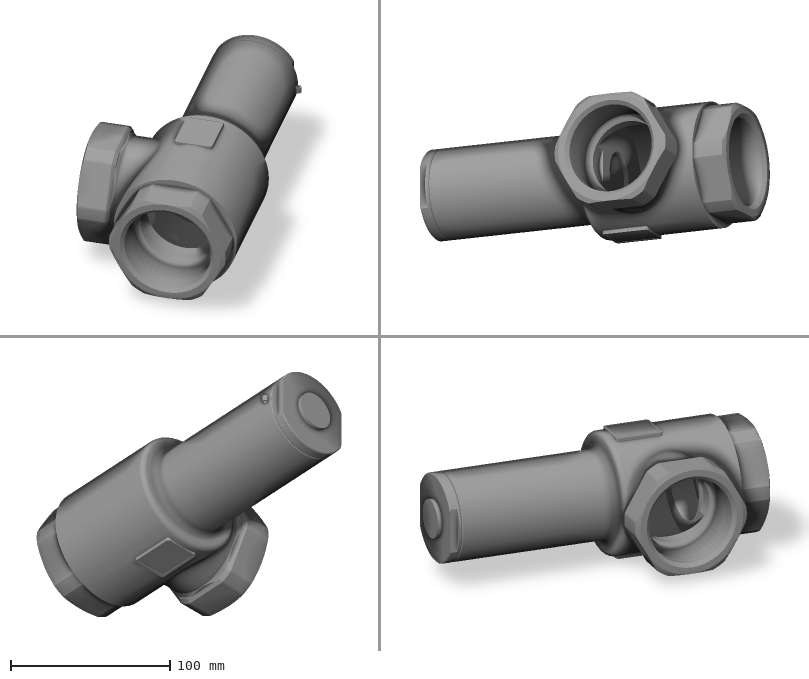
import cadquery as cq
import math


BODY_R = 40.0
BODY_START_Y = 21.0
SHOULDER_Y = 100.7
SHOULDER_ROUND = 3.2

BONNET_R = 29.0
ROOT_FILLET = 4.3
BONNET_START_Y = SHOULDER_Y + ROOT_FILLET
JOINT_Y = 205.8
JOINT_CHAMFER = 0.6

CAP_TOP_Y = 213.0
CAP_FLAT_X = 25.0
CAP_FLAT_START_Y = 208.0
BOSS_R = 12.5
TOTAL_LENGTH = 216.0

EYE_Y = 202.5
EYE_X = 30.7
EYE_R = 2.0
EYE_HOLE_R = 1.0
EYE_HEIGHT = 3.9

HEX_APOTHEM = 34.8
HEX_CORNER_R = 37.8
HEX_FACE_CHAMFER = 1.5
THREAD_R = 28.0
THREAD_MOUTH_R = 30.5
THREAD_MOUTH_DEPTH = 2.4
OUTLET_THREAD_DEPTH = 27.9
INLET_THREAD_DEPTH = 26.0
CONE_DEPTH = 2.5

OUTLET_Y = 66.0
OUTLET_FACE_X = -67.0
OUTLET_HEX_LENGTH = 21.8
OUTLET_BACK_CHAMFER = 2.2
OUTLET_CORNER_FILLET = 4.3
NECK_R = 32.5
NECK_FILLET = 2.2
COLLAR_LENGTH = 2.0
OUTLET_PASSAGE_R = 24.2
OUTLET_PASSAGE_END_X = -26.0

CHAMBER_R = 35.6
CHAMBER_HALF_LENGTH = 21.8
CHAMBER_START_Y = OUTLET_Y - CHAMBER_HALF_LENGTH
CHAMBER_END_Y = OUTLET_Y + CHAMBER_HALF_LENGTH
INLET_PASSAGE_R = 24.8

DISC_R = 21.0
DISC_RECESS_R = 15.1
DISC_RECESS_FLOOR_R = 13.0
DISC_RECESS_DEPTH = 2.2

PLATE_WIDTH = 24.5
PLATE_LENGTH = 31.0
PLATE_CENTER_Y = 79.0
PLATE_SPAN_Z = 81.0
PLATE_TOP_Z = PLATE_SPAN_Z / 2
PLATE_FLOOR_Z = 40.2
PLATE_BASE_Z = 36.7
PLATE_RIM = 1.7
PLATE_CORNER_R = 2.0


def turned(points):
    """Solid turned about the Y axis from (radius, y) points."""
    return cq.Workplane("XY").polyline(points).close().revolve(360, (0, 0, 0), (0, 1, 0))


def rod(radius, start_y, end_y):
    """Cylinder on the Y axis."""
    return turned([(0, start_y), (radius, start_y), (radius, end_y), (0, end_y)])


def to_outlet(solid):
    """Moves a solid built on the inlet axis, facing -Y, onto the outlet axis, facing -X."""
    return solid.rotate((0, 0, 0), (0, 0, 1), -90).translate((OUTLET_FACE_X, OUTLET_Y, 0))


def hex_prism(apothem, length):
    """Hexagonal prism along +Y from Y = 0, with flats facing +Z and -Z."""
    across_corners = 2 * apothem / math.cos(math.pi / 6)
    return cq.Workplane("XZ").polygon(6, across_corners).extrude(-length)


def hex_end(length):
    """Hexagon with turned corners and a conical chamfer on its Y = 0 face."""
    envelope = turned([
        (0, 0),
        (HEX_APOTHEM, 0),
        (HEX_CORNER_R, HEX_FACE_CHAMFER),
        (HEX_CORNER_R, length),
        (0, length),
    ])
    return hex_prism(HEX_APOTHEM, length).intersect(envelope)


def thread_bore(depth, passage_r):
    """Cutter for a threaded socket: mouth chamfer, bore and conical bottom."""
    return turned([
        (0, 0),
        (THREAD_MOUTH_R, 0),
        (THREAD_R, THREAD_MOUTH_DEPTH),
        (THREAD_R, depth),
        (passage_r, depth + CONE_DEPTH),
        (0, depth + CONE_DEPTH),
    ])


def make_core():
    """Turned body with a rounded shoulder and a filleted root for the bonnet."""
    quarter = math.sqrt(0.5)
    round_y = SHOULDER_Y - SHOULDER_ROUND
    round_r = BODY_R - SHOULDER_ROUND
    root_r = BONNET_R + ROOT_FILLET
    return (
        cq.Workplane("XY")
        .moveTo(0, BODY_START_Y)
        .lineTo(BODY_R, BODY_START_Y)
        .lineTo(BODY_R, round_y)
        .threePointArc(
            (round_r + SHOULDER_ROUND * quarter, round_y + SHOULDER_ROUND * quarter),
            (round_r, SHOULDER_Y),
        )
        .lineTo(root_r, SHOULDER_Y)
        .threePointArc(
            (root_r - ROOT_FILLET * quarter, BONNET_START_Y - ROOT_FILLET * quarter),
            (BONNET_R, BONNET_START_Y),
        )
        .lineTo(0, BONNET_START_Y)
        .close()
        .revolve(360, (0, 0, 0), (0, 1, 0))
    )


def make_outlet_hex():
    """Outlet hexagon with rounded corner edges, a chamfered back and a collar onto the neck."""
    hexagon = hex_end(OUTLET_HEX_LENGTH)
    hexagon = hexagon.edges("|Y").fillet(OUTLET_CORNER_FILLET)
    hexagon = hexagon.faces(">Y").chamfer(OUTLET_BACK_CHAMFER)
    collar = turned([
        (0, OUTLET_HEX_LENGTH),
        (NECK_R + COLLAR_LENGTH, OUTLET_HEX_LENGTH),
        (NECK_R, OUTLET_HEX_LENGTH + COLLAR_LENGTH),
        (0, OUTLET_HEX_LENGTH + COLLAR_LENGTH),
    ])
    collar_limit = hex_prism(HEX_APOTHEM - OUTLET_BACK_CHAMFER, OUTLET_HEX_LENGTH + COLLAR_LENGTH)
    return to_outlet(hexagon.union(collar.intersect(collar_limit)))


def make_plate(side):
    """Rimmed name plate on the +Z (side = 1) or -Z (side = -1) face of the body."""
    block = (
        cq.Workplane("XY", origin=(0, PLATE_CENTER_Y, PLATE_BASE_Z))
        .rect(PLATE_WIDTH, PLATE_LENGTH)
        .extrude(PLATE_TOP_Z - PLATE_BASE_Z)
        .edges("|Z")
        .fillet(PLATE_CORNER_R)
    )
    panel = (
        cq.Workplane("XY", origin=(0, PLATE_CENTER_Y, PLATE_FLOOR_Z))
        .rect(PLATE_WIDTH - 2 * PLATE_RIM, PLATE_LENGTH - 2 * PLATE_RIM)
        .extrude(PLATE_TOP_Z - PLATE_FLOOR_Z)
    )
    block = block.cut(panel)
    if side < 0:
        block = block.mirror("XY")
    return block


def neck_joint_box():
    """Selector box around the curve where the neck meets the body."""
    reach = NECK_R + NECK_FILLET
    return cq.selectors.BoxSelector(
        (-BODY_R - NECK_FILLET, OUTLET_Y - reach, -reach),
        (-BODY_R / 2, OUTLET_Y + reach, reach),
        boundingbox=True,
    )


def make_housing():
    """Valve housing with hexagon ends, name plates and the flow passages."""
    neck_end_x = OUTLET_FACE_X + OUTLET_HEX_LENGTH
    neck = cq.Workplane("YZ", origin=(neck_end_x, OUTLET_Y, 0)).circle(NECK_R).extrude(-neck_end_x)
    housing = make_core().union(neck)
    housing = housing.edges(neck_joint_box()).fillet(NECK_FILLET)
    housing = housing.union(make_outlet_hex()).union(hex_end(BODY_START_Y))
    for side in (1, -1):
        housing = housing.union(make_plate(side))

    passage_start_x = OUTLET_FACE_X + OUTLET_THREAD_DEPTH + CONE_DEPTH
    outlet_passage = (
        cq.Workplane("YZ", origin=(passage_start_x, OUTLET_Y, 0))
        .circle(OUTLET_PASSAGE_R)
        .extrude(OUTLET_PASSAGE_END_X - passage_start_x)
    )
    return (
        housing
        .cut(thread_bore(INLET_THREAD_DEPTH, INLET_PASSAGE_R))
        .cut(rod(INLET_PASSAGE_R, INLET_THREAD_DEPTH, CHAMBER_START_Y))
        .cut(rod(CHAMBER_R, CHAMBER_START_Y, CHAMBER_END_Y))
        .cut(to_outlet(thread_bore(OUTLET_THREAD_DEPTH, OUTLET_PASSAGE_R)))
        .cut(outlet_passage)
        .cut(rod(DISC_R, CHAMBER_END_Y, BONNET_START_Y))
    )


def make_disc():
    """Disc filling the housing bore below the bonnet, with a conical recess towards the inlet."""
    recess_floor_y = CHAMBER_END_Y + DISC_RECESS_DEPTH
    return turned([
        (0, recess_floor_y),
        (DISC_RECESS_FLOOR_R, recess_floor_y),
        (DISC_RECESS_R, CHAMBER_END_Y),
        (DISC_R, CHAMBER_END_Y),
        (DISC_R, BONNET_START_Y),
        (0, BONNET_START_Y),
    ])


def make_bonnet():
    """Spring bonnet with a seal eye on its +X side."""
    barrel = rod(BONNET_R, BONNET_START_Y, JOINT_Y).faces(">Y").chamfer(JOINT_CHAMFER)
    eye_plane = cq.Workplane("XY", origin=(EYE_X, EYE_Y, -EYE_HEIGHT / 2))
    eye = eye_plane.circle(EYE_R).extrude(EYE_HEIGHT)
    eye_hole = eye_plane.circle(EYE_HOLE_R).extrude(EYE_HEIGHT)
    return barrel.union(eye).cut(eye_hole)


def make_cap():
    """Round cap with two wrench flats and a central boss."""
    head = rod(BONNET_R, JOINT_Y, CAP_TOP_Y).faces("<Y or >Y").chamfer(JOINT_CHAMFER)
    flat_depth = BONNET_R - CAP_FLAT_X
    flat_height = CAP_TOP_Y - CAP_FLAT_START_Y
    for side in (1, -1):
        flat = cq.Workplane("XY").box(flat_depth, flat_height, 2 * BONNET_R).translate((
            side * (CAP_FLAT_X + flat_depth / 2),
            CAP_FLAT_START_Y + flat_height / 2,
            0,
        ))
        head = head.cut(flat)
    return head.union(rod(BOSS_R, CAP_TOP_Y, TOTAL_LENGTH))


housing = make_housing()
disc = make_disc()
bonnet = make_bonnet()
cap = make_cap()

result = cq.Compound.makeCompound([housing.val(), disc.val(), bonnet.val(), cap.val()])